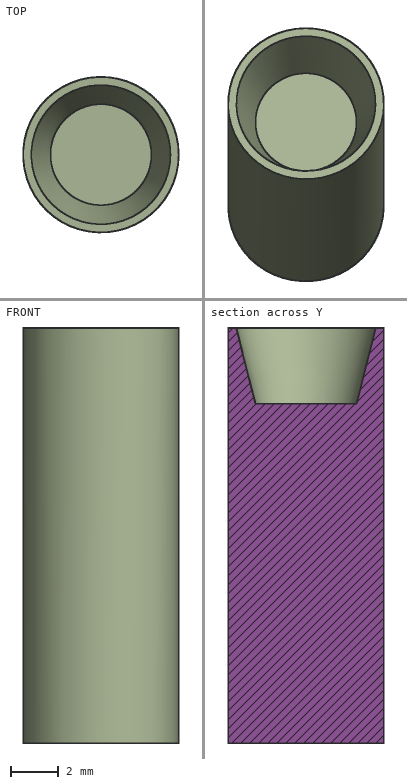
import cadquery as cq

body_length = 17.36
body_diameter = 6.51

rim_width = 0.35
recess_floor_diameter = 4.22
recess_depth = 3.16


def make_body():
    return cq.Workplane("XY").circle(body_diameter / 2).extrude(body_length)


def make_recess():
    """Cone frustum that narrows from the rim down to a flat floor."""
    mouth_radius = body_diameter / 2 - rim_width
    floor_radius = recess_floor_diameter / 2
    floor_height = body_length - recess_depth
    half_profile = (
        cq.Workplane("XZ")
        .moveTo(0, floor_height)
        .lineTo(floor_radius, floor_height)
        .lineTo(mouth_radius, body_length)
        .lineTo(0, body_length)
        .close()
    )
    return half_profile.revolve(360, (0, 0, 0), (0, 1, 0))


result = make_body().cut(make_recess())